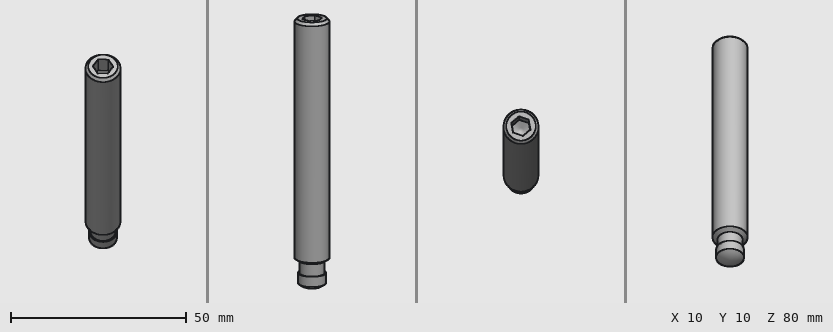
import cadquery as cq
import math

LENGTH = 80.0
BODY_RADIUS = 10.0 / 2

TIP_RADIUS = 8.0 / 2
TIP_SPHERE_RADIUS = 6.0
TIP_TOP_Z = 4.5
NECK_RADIUS = 7.2 / 2
NECK_TOP_Z = 8.1

LOWER_CHAMFER_HEIGHT = 0.9
TOP_CHAMFER_WIDTH = 0.8
TOP_CHAMFER_HEIGHT = 0.9

SOCKET_ACROSS_FLATS = 5.0
SOCKET_DEPTH = 5.0
SOCKET_CONE_ANGLE = 120.0


def dome_height(radius):
    """Height of the spherical tip at a distance from the axis."""
    return TIP_SPHERE_RADIUS - math.sqrt(TIP_SPHERE_RADIUS**2 - radius**2)


def make_pin():
    """Revolved body, neck and rounded tip."""
    mid_radius = TIP_RADIUS / 2
    profile = (
        cq.Workplane("XZ")
        .moveTo(0, 0)
        .threePointArc((mid_radius, dome_height(mid_radius)), (TIP_RADIUS, dome_height(TIP_RADIUS)))
        .lineTo(TIP_RADIUS, TIP_TOP_Z)
        .lineTo(NECK_RADIUS, TIP_TOP_Z)
        .lineTo(NECK_RADIUS, NECK_TOP_Z)
        .lineTo(BODY_RADIUS, NECK_TOP_Z + LOWER_CHAMFER_HEIGHT)
        .lineTo(BODY_RADIUS, LENGTH - TOP_CHAMFER_HEIGHT)
        .lineTo(BODY_RADIUS - TOP_CHAMFER_WIDTH, LENGTH)
        .lineTo(0, LENGTH)
        .close()
    )
    return profile.revolve(360, (0, 0, 0), (0, 1, 0))


def make_socket():
    """Hexagonal prism, two corners on the X axis, ending in a cone that spans its corners."""
    corner_radius = SOCKET_ACROSS_FLATS / math.sqrt(3)
    cone_height = corner_radius / math.tan(math.radians(SOCKET_CONE_ANGLE / 2))
    floor_z = LENGTH - SOCKET_DEPTH
    hexagon = (
        cq.Workplane("XY", origin=(0, 0, floor_z - cone_height))
        .polygon(6, 2 * corner_radius)
        .extrude(SOCKET_DEPTH + cone_height)
    )
    drill = (
        cq.Workplane("XZ")
        .moveTo(0, floor_z - cone_height)
        .lineTo(corner_radius, floor_z)
        .lineTo(corner_radius, LENGTH)
        .lineTo(0, LENGTH)
        .close()
        .revolve(360, (0, 0, 0), (0, 1, 0))
    )
    return hexagon.intersect(drill)


result = make_pin().cut(make_socket())